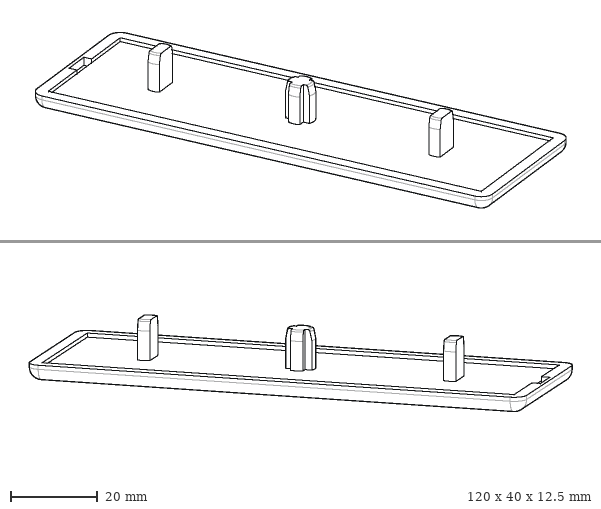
import cadquery as cq

length = 120.0
width = 40.0
plate_height = 4.0
edge_radius = 3.0

rim_width = 3.0
recess_depth = 1.0
recess_floor = plate_height - recess_depth
notch_width = 7.0
notch_outer_wall = 1.0
notch_depth = 2.0

total_height = 12.5
peg_diameter = 7.0
peg_thickness = 3.0
peg_spacing = 37.0
tip_height = 2.5
tip_inset = 0.5
tip_radius = 0.5


def make_plate():
    """Plate with ball-shaped lower corners and a rounded bottom edge."""
    core_length = length - 2 * edge_radius
    core_width = width - 2 * edge_radius
    upper_height = plate_height - edge_radius
    plate = (
        cq.Workplane("XY", origin=(0, 0, edge_radius))
        .rect(length, width)
        .extrude(upper_height)
        .edges("|Z")
        .fillet(edge_radius)
    )
    core = cq.Workplane("XY").box(core_length, core_width, plate_height, centered=(True, True, False))
    plate = plate.union(core)

    corners = [(sx * core_length / 2, sy * core_width / 2) for sx in (-1, 1) for sy in (-1, 1)]
    rods_x = (
        cq.Workplane("YZ", origin=(-core_length / 2, 0, edge_radius))
        .pushPoints([(-core_width / 2, 0), (core_width / 2, 0)])
        .circle(edge_radius)
        .extrude(core_length)
    )
    rods_y = (
        cq.Workplane("XZ", origin=(0, core_width / 2, edge_radius))
        .pushPoints([(-core_length / 2, 0), (core_length / 2, 0)])
        .circle(edge_radius)
        .extrude(core_width)
    )
    balls = cq.Workplane("XY", origin=(0, 0, edge_radius)).pushPoints(corners).sphere(edge_radius)
    lower_half = cq.Workplane("XY").box(length, width, edge_radius, centered=(True, True, False))
    for rounding in (rods_x, rods_y, balls):
        plate = plate.union(rounding.intersect(lower_half))
    return plate.clean()


def cut_recess(plate):
    """Sink the top face inside the rim and notch the rim on the -X side."""
    recess = cq.Workplane("XY", origin=(0, 0, recess_floor)).box(
        length - 2 * rim_width, width - 2 * rim_width, recess_depth, centered=(True, True, False)
    )
    notch_start = -length / 2 + notch_outer_wall
    notch = cq.Workplane("XY", origin=(notch_start, 0, plate_height - notch_depth)).box(
        rim_width - notch_outer_wall, notch_width, notch_depth, centered=(False, True, False)
    )
    return plate.cut(recess).cut(notch)


def make_peg_envelope():
    """Round pin with a tapered tip and a rounded top edge."""
    peg_height = total_height - recess_floor
    radius = peg_diameter / 2
    return (
        cq.Workplane("XZ", origin=(0, 0, recess_floor))
        .polyline(
            [
                (0, 0),
                (radius, 0),
                (radius, peg_height - tip_height),
                (radius - tip_inset, peg_height),
                (0, peg_height),
            ]
        )
        .close()
        .revolve(360, (0, 0, 0), (0, 1, 0))
        .faces(">Z")
        .edges()
        .fillet(tip_radius)
    )


def make_flat_peg():
    """Peg envelope trimmed to a blade that lies along Y."""
    blade = cq.Workplane("XY").box(
        peg_thickness, peg_diameter, total_height, centered=(True, True, False)
    )
    return make_peg_envelope().intersect(blade)


flat_peg = make_flat_peg()
cross_peg = flat_peg.union(flat_peg.rotate((0, 0, 0), (0, 0, 1), 90))

result = cut_recess(make_plate()).union(cross_peg)
for side in (-1, 1):
    result = result.union(flat_peg.translate((side * peg_spacing, 0, 0)))